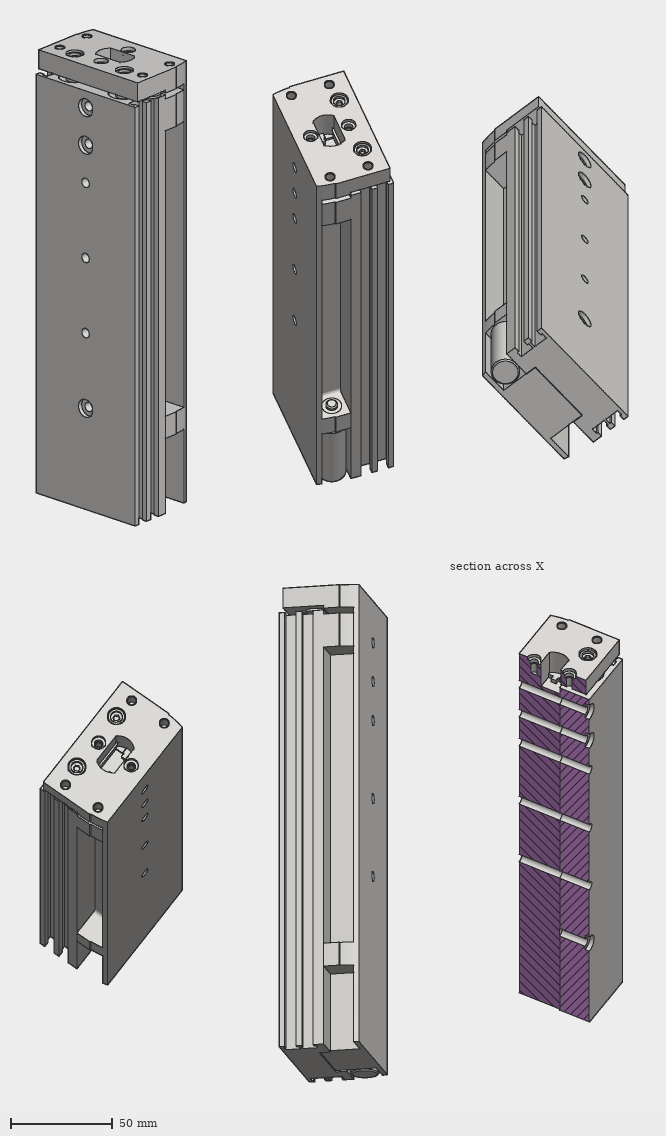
import cadquery as cq

width = 66.0
depth = 40.0
height = 235.7
half_width = width / 2

housing_back = 22.6
housing_top = 223.2
slot_width = 5.7
slot_mouth_depth = 2.8
slot_depth = 6.0
slot_undercut = 1.0
slot_starts = [2.8, 11.5]
stop_block_bottom = 204.0
stop_block_top = 221.0

plate_front = 37.5
table_bottom = 0.7
table_top_half_width = 31.0
shoulder_y = 30.5
shoulder_step = 0.5
shoulder_rise = 0.5
flank_bulge_x = 32.0
flank_bulge_y = 35.4
end_plate_front = 2.0
end_plate_bottom = 225.5
pocket_top = 224.2
spine_front = 17.0
spine_half_width = 18.0
spine_fillet = 2.0
block_bottom = 40.0
block_top = 51.9

window_y = 22.0
window_height = 11.0
window_half_width = 8.0
window_bow = 10.1
window_floor = 221.5
window_step_floor = 220.4
window_step_back = 21.2
window_slot_half_width = 7.0
window_slot_floor = 219.2
window_lip_reach = 2.1
window_lip_front = 22.0
window_lip_back = 24.7

mount_diameter = 5.0
mount_counterbore = 9.5
mount_counterbore_depth = 2.4
mount_pitch = 40.0
lowest_mount = 54.0
plain_mounts = [lowest_mount + n * mount_pitch for n in (1, 2, 3)]
upper_bored_mounts = [lowest_mount + n * mount_pitch for n in (3.5, 4)]

corner_hole_diameter = 4.2
corner_hole_mouth = 5.0
corner_mouth_depth = 0.5
corner_hole_x = 27.5
corner_hole_depth = 8.2
hole_row_front = 11.5
hole_row_back = 31.5
centre_hole_diameter = 4.2
centre_counterbore = 7.0
centre_counterbore_depth = 2.0
centre_pilot = 3.0
centre_hole_depth = 4.2

rod_diameter = 9.0
rod_x = 16.5
rod_y = 10.4
rod_bottom = 47.1
rod_mouth = 16.0
rod_mouth_depth = 1.2
rod_recess = 1.0
rod_chamfer = 0.5
socket_bore = 6.0
socket_bore_depth = 1.5
socket_size = 3.3
socket_depth = 3.3

absorber_x = -25.5
absorber_y = 30.0
absorber_diameter = 14.1
absorber_neck = 10.0
absorber_tip = 6.0
absorber_tip_height = 2.0
absorber_chamfer = 0.7
absorber_shoulder_chamfer = 1.5

pad_diameter = 10.0
pad_x = 27.8
pad_y = 17.5
pad_height = 1.2


def box(x_range, y_range, z_range):
    """Axis-aligned box between pairs of limits."""
    (x0, x1), (y0, y1), (z0, z1) = x_range, y_range, z_range
    return cq.Workplane("XY").box(x1 - x0, y1 - y0, z1 - z0, centered=False).translate((x0, y0, z0))


def cylinder(x, y, diameter, bottom, top):
    """Upright cylinder between two heights."""
    return cq.Workplane("XY", origin=(x, y, bottom)).circle(diameter / 2).extrude(top - bottom)


def front_bore(z, diameter, y_start, y_end):
    """Cylinder along Y on the centre line."""
    plane = cq.Workplane("XZ", origin=(0, y_start, z))
    return plane.circle(diameter / 2).extrude(y_start - y_end)


def table_section(front, bottom, top):
    """Table cross-section with bowed flanks above a small shoulder, from y = front to the back."""
    neck = half_width - shoulder_step
    return (
        cq.Workplane("XY", origin=(0, 0, bottom))
        .moveTo(-half_width, front)
        .lineTo(half_width, front)
        .lineTo(half_width, shoulder_y)
        .lineTo(neck, shoulder_y + shoulder_rise)
        .threePointArc((flank_bulge_x, flank_bulge_y), (table_top_half_width, depth))
        .lineTo(-table_top_half_width, depth)
        .threePointArc((-flank_bulge_x, flank_bulge_y), (-neck, shoulder_y + shoulder_rise))
        .lineTo(-half_width, shoulder_y)
        .close()
        .extrude(top - bottom)
    )


def make_sensor_slot(start_y, side):
    """T-slot along the full height: a narrow mouth that opens into a wider chamber."""
    mouth_x = side * half_width
    chamber_x = side * (half_width - slot_mouth_depth)
    end_x = side * (half_width - slot_depth)
    end_y = start_y + slot_width
    rise = (0, housing_top)
    mouth = box(sorted((mouth_x, chamber_x)), (start_y, end_y), rise)
    chamber = box(sorted((chamber_x, end_x)), (start_y - slot_undercut, end_y + slot_undercut), rise)
    return mouth.union(chamber)


def make_housing():
    spine_x = (-spine_half_width, spine_half_width)
    body = box((-half_width, half_width), (0, housing_back), (0, housing_top))
    stop_blocks = table_section(housing_back, stop_block_bottom, stop_block_top)
    stop_blocks = stop_blocks.cut(
        box((-half_width, half_width), (plate_front, depth), (stop_block_bottom, stop_block_top))
    )
    body = body.union(stop_blocks)
    body = body.cut(box(spine_x, (spine_front, depth), (0, housing_top)))
    for side in (-1, 1):
        for start_y in slot_starts:
            body = body.cut(make_sensor_slot(start_y, side))
        body = body.cut(cylinder(side * rod_x, rod_y, rod_diameter, rod_bottom, housing_top))
        mouth_bottom = housing_top - rod_mouth_depth
        body = body.cut(cylinder(side * rod_x, rod_y, rod_mouth, mouth_bottom, housing_top))
    for z in [lowest_mount, *plain_mounts, *upper_bored_mounts]:
        body = body.cut(front_bore(z, mount_diameter, 0, housing_back))
    for z in [lowest_mount, *upper_bored_mounts]:
        body = body.cut(front_bore(z, mount_counterbore, 0, mount_counterbore_depth))
    return body


def make_side_pocket(side, bottom, top):
    """Open pocket beside the spine, rounded where its ends meet the spine wall."""
    inner, outer = side * spine_half_width, side * half_width
    pocket = box(sorted((inner, outer)), (0, plate_front), (bottom, top))
    inner_face = "<X" if side > 0 else ">X"
    return pocket.faces(inner_face).edges("|Y").fillet(spine_fillet)


def make_window(bottom, top):
    """Window prism: straight long sides joined by arcs."""
    half_height = window_height / 2
    low, high = window_y - half_height, window_y + half_height
    return (
        cq.Workplane("XY", origin=(0, 0, bottom))
        .moveTo(-window_half_width, low)
        .lineTo(window_half_width, low)
        .threePointArc((window_bow, window_y), (window_half_width, high))
        .lineTo(-window_half_width, high)
        .threePointArc((-window_bow, window_y), (-window_half_width, low))
        .close()
        .extrude(top - bottom)
    )


def make_window_step():
    """Lower floor along the front part of the window."""
    prism = make_window(window_step_floor, window_floor)
    front_part = box(
        (-window_bow, window_bow), (spine_front, window_step_back), (window_step_floor, window_floor)
    )
    return prism.intersect(front_part)


def make_window_slot():
    """Deeper slot in the window floor, narrowed by a lip on each side."""
    reach = (-window_slot_half_width, window_slot_half_width)
    rise = (window_slot_floor, window_floor)
    slot = box(reach, (spine_front, window_y + window_height / 2), rise)
    for side in (-1, 1):
        outer = side * window_slot_half_width
        lip_x = sorted((outer, outer - side * window_lip_reach))
        slot = slot.cut(box(lip_x, (window_lip_front, window_lip_back), rise))
    return slot


def drill_down(body, x, y, diameter, hole_depth):
    return body.cut(cylinder(x, y, diameter, height - hole_depth, height))


def cut_end_plate_holes(body):
    for y in (hole_row_front, hole_row_back):
        for side in (-1, 1):
            x = side * corner_hole_x
            body = drill_down(body, x, y, corner_hole_diameter, corner_hole_depth)
            body = drill_down(body, x, y, corner_hole_mouth, corner_mouth_depth)
        body = drill_down(body, 0, y, centre_pilot, height - end_plate_bottom)
        body = drill_down(body, 0, y, centre_hole_diameter, centre_hole_depth)
        body = drill_down(body, 0, y, centre_counterbore, centre_counterbore_depth)
    for side in (-1, 1):
        body = drill_down(body, side * rod_x, rod_y, rod_diameter, height - end_plate_bottom)
    return body


def make_table():
    across = (-half_width, half_width)
    body = table_section(end_plate_front, table_bottom, height)
    body = body.cut(box(across, (0, spine_front), (0, end_plate_bottom)))
    for side in (-1, 1):
        inner, outer = sorted((side * spine_half_width, side * half_width))
        body = body.cut(box((inner, outer), (0, housing_back), (0, end_plate_bottom)))
        body = body.cut(box((inner, outer), (0, plate_front), (0, block_bottom)))
        body = body.cut(make_side_pocket(side, block_top, pocket_top))
    body = body.cut(make_window(window_floor, height))
    body = body.cut(make_window_step()).cut(make_window_slot())
    body = cut_end_plate_holes(body)
    for z in [*plain_mounts, *upper_bored_mounts]:
        body = body.cut(front_bore(z, mount_diameter, 0, depth))
    return body.cut(cylinder(absorber_x, absorber_y, absorber_neck, block_bottom, block_top))


def make_rod(side):
    top = height - rod_recess
    rod = cylinder(side * rod_x, rod_y, rod_diameter, rod_bottom, top)
    rod = rod.faces(">Z").chamfer(rod_chamfer)
    socket = (
        cq.Workplane("XY", origin=(side * rod_x, rod_y, top))
        .polygon(6, socket_size)
        .extrude(-socket_depth)
    )
    bore = cylinder(side * rod_x, rod_y, socket_bore, top - socket_bore_depth, top)
    return rod.cut(bore).cut(socket)


def make_absorber():
    body = cylinder(absorber_x, absorber_y, absorber_diameter, 0, block_bottom)
    body = body.faces("<Z").chamfer(absorber_chamfer).faces(">Z").chamfer(absorber_shoulder_chamfer)
    neck = cylinder(absorber_x, absorber_y, absorber_neck, block_bottom, block_top)
    tip = cylinder(absorber_x, absorber_y, absorber_tip, block_top, block_top + absorber_tip_height)
    return body.union(neck).union(tip.faces(">Z").chamfer(absorber_chamfer))


def make_pad():
    return cylinder(pad_x, pad_y, pad_diameter, housing_top, housing_top + pad_height)


housing = make_housing()
table = make_table()
rods = [make_rod(side) for side in (-1, 1)]
absorber = make_absorber()
pad = make_pad()

result = cq.Compound.makeCompound(
    [housing.val(), table.val(), *[rod.val() for rod in rods], absorber.val(), pad.val()]
)